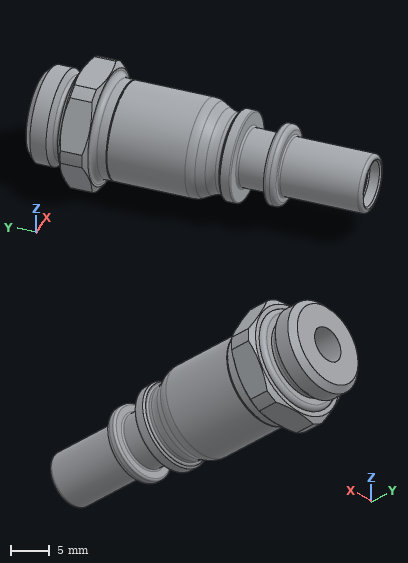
import cadquery as cq
import math

total_length = 45.9

shank_radius = 4.0
tip_round = 0.5
neck_fillet = 0.25
flange_radius = 5.5
flange_front = 11.5
flange_back = 13.15
flange_front_round = 0.7
flange_back_round = 0.3

collar_radius = 6.2
collar_front = 17.35
collar_back = 19.05
collar_front_round = 0.2
collar_back_chamfer = 0.28
collar_neck_fillet = 0.28

body_radius = 6.75
throat_radius = 5.5
shoulder_top = 23.45
shoulder_round = 2.75
shoulder_angle = math.radians(27.5)
body_groove_center = 34.35
body_groove_width = 0.15
body_groove_depth = 0.28
hex_root_fillet = 0.83

hex_front = 36.5
hex_back = 40.5
hex_across_flats = 16.0
hex_corner_diameter = 17.5
hex_corner_radius = hex_corner_diameter / 2
hex_face_radius = 7.9
hex_chamfer_angle = math.radians(30)

seat_radius = 7.2
seat_back = 41.15
undercut_radius = 5.6
undercut_round = 0.65
head_radius = 6.6
head_front = 42.8
head_chamfer = 0.85
head_cone_angle = math.radians(50)

bore_radius = 2.5
counterbore_radius = 3.08
counterbore_depth = 1.75
counterbore_bottom_radius = 2.9
mouth_chamfer = 0.25


def arc(profile, end, radius, convex):
    """Add an arc; a convex one bulges outward while the profile runs toward +Y."""
    return profile.radiusArc(end, -radius if convex else radius)


def revolve(profile):
    """Close a half profile, with radius along X, and turn it about the Y axis."""
    return profile.close().revolve(360, (0, 0, 0), (0, 1, 0))


def turned_body():
    """Outer turned shape, drawn as radius against Y and revolved about Y."""
    seat_round = seat_back - hex_back

    sine = math.sin(shoulder_angle)
    rise = shoulder_round * (1 - math.cos(shoulder_angle))
    cone_top = (body_radius - rise, shoulder_top - shoulder_round * sine)
    cone_bottom_radius = throat_radius + rise
    cone_length = (cone_top[0] - cone_bottom_radius) / math.tan(shoulder_angle)
    cone_bottom = (cone_bottom_radius, cone_top[1] - cone_length)
    throat_top = cone_bottom[1] - shoulder_round * sine

    head_cone_radius = undercut_radius + undercut_round * (1 - math.cos(head_cone_angle))
    head_cone_start = head_front - (head_radius - head_cone_radius) / math.tan(head_cone_angle)
    undercut_end = head_cone_start - undercut_round * math.sin(head_cone_angle)

    p = cq.Workplane("XY").moveTo(0, 0)

    p = p.lineTo(shank_radius - tip_round, 0)
    p = arc(p, (shank_radius, tip_round), tip_round, True)
    p = p.lineTo(shank_radius, flange_front - neck_fillet)
    p = arc(p, (shank_radius + neck_fillet, flange_front), neck_fillet, False)
    p = p.lineTo(flange_radius - flange_front_round, flange_front)
    p = arc(p, (flange_radius, flange_front + flange_front_round), flange_front_round, True)
    p = p.lineTo(flange_radius, flange_back - flange_back_round)
    p = arc(p, (flange_radius - flange_back_round, flange_back), flange_back_round, True)
    p = p.lineTo(shank_radius + neck_fillet, flange_back)
    p = arc(p, (shank_radius, flange_back + neck_fillet), neck_fillet, False)

    p = p.lineTo(shank_radius, collar_front - collar_neck_fillet)
    p = arc(p, (shank_radius + collar_neck_fillet, collar_front), collar_neck_fillet, False)
    p = p.lineTo(collar_radius - collar_front_round, collar_front)
    p = arc(p, (collar_radius, collar_front + collar_front_round), collar_front_round, True)
    p = p.lineTo(collar_radius, collar_back - collar_back_chamfer)
    p = p.lineTo(collar_radius - collar_back_chamfer, collar_back)
    p = p.lineTo(throat_radius + neck_fillet, collar_back)
    p = arc(p, (throat_radius, collar_back + neck_fillet), neck_fillet, False)

    p = p.lineTo(throat_radius, throat_top)
    p = arc(p, cone_bottom, shoulder_round, False)
    p = p.lineTo(*cone_top)
    p = arc(p, (body_radius, shoulder_top), shoulder_round, True)
    p = p.lineTo(body_radius, hex_front - hex_root_fillet)
    p = arc(p, (body_radius + hex_root_fillet, hex_front), hex_root_fillet, False)

    p = p.lineTo(seat_radius, hex_front)
    p = p.lineTo(seat_radius, hex_back)
    p = arc(p, (seat_radius - seat_round, seat_back), seat_round, True)
    p = p.lineTo(undercut_radius, seat_back)
    p = p.lineTo(undercut_radius, undercut_end)
    p = arc(p, (head_cone_radius, head_cone_start), undercut_round, False)
    p = p.lineTo(head_radius, head_front)
    p = p.lineTo(head_radius, total_length - head_chamfer)
    p = p.lineTo(head_radius - head_chamfer, total_length)
    p = p.lineTo(0, total_length)
    return revolve(p)


def hexagon():
    """Hexagon with flats facing +Z and -Z, trimmed by a double-chamfered disc."""
    sharp_corner_diameter = hex_across_flats / math.cos(math.radians(30))
    prism = (
        cq.Workplane("XZ", origin=(0, hex_back, 0))
        .polygon(6, sharp_corner_diameter)
        .extrude(hex_back - hex_front)
    )
    chamfer_length = (hex_corner_radius - hex_face_radius) * math.tan(hex_chamfer_angle)
    disc = revolve(
        cq.Workplane("XY")
        .moveTo(0, hex_front)
        .lineTo(hex_face_radius, hex_front)
        .lineTo(hex_corner_radius, hex_front + chamfer_length)
        .lineTo(hex_corner_radius, hex_back - chamfer_length)
        .lineTo(hex_face_radius, hex_back)
        .lineTo(0, hex_back)
    )
    return prism.intersect(disc)


def body_groove():
    """Thin ring to be cut around the body."""
    return (
        cq.Workplane("XZ", origin=(0, body_groove_center + body_groove_width / 2, 0))
        .circle(body_radius + body_groove_depth)
        .circle(body_radius - body_groove_depth)
        .extrude(body_groove_width)
    )


def bore():
    """Through bore with a chamfered counterbore at the tip, tapered at its bottom."""
    taper_length = counterbore_radius - counterbore_bottom_radius
    return revolve(
        cq.Workplane("XY")
        .moveTo(0, 0)
        .lineTo(counterbore_radius + mouth_chamfer, 0)
        .lineTo(counterbore_radius, mouth_chamfer)
        .lineTo(counterbore_radius, counterbore_depth - taper_length)
        .lineTo(counterbore_bottom_radius, counterbore_depth)
        .lineTo(bore_radius, counterbore_depth)
        .lineTo(bore_radius, total_length)
        .lineTo(0, total_length)
    )


result = turned_body().union(hexagon()).cut(body_groove()).cut(bore())